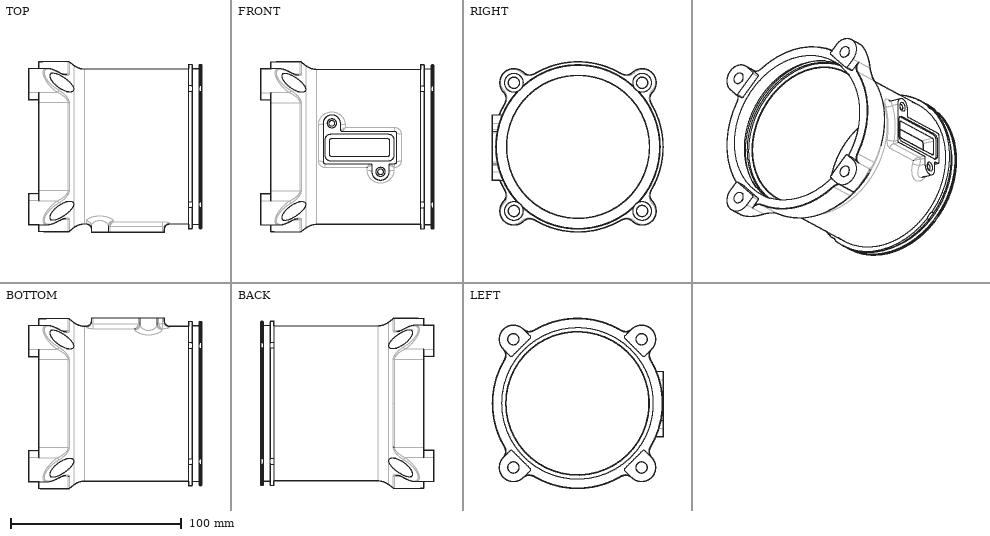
import cadquery as cq
import math

length = 101.5
tube_radius = 45.5
bore_radius = 83.6 / 2
bore_chamfer = 0.3

flange_front = 5.7
flange_radius = 49.9
flange_edge_chamfer = 0.3
cone_end = 26.6
blend_end = 32.7
cone_angle = 38.0
back_edge_fillet = 1.1

counterbore_radius = 88.8 / 2
counterbore_floor = 20.6
groove_radius = 91.5 / 2
groove_start = 16.0
groove_end = 19.1

bolt_offset = 37.6
bolt_circle_radius = bolt_offset * math.sqrt(2)
bolt_hole_diameter = 6.5
bolt_seat_diameter = 11.0
bolt_seat_start = 8.1
ear_radius = 8.3
ear_inner_flat = 46.6
ear_corner_fillet = 0.8
ear_root_fillet = 5.0
diagonals = (45, 135, 225, 315)

collar_radius = 48.2
seal_groove_radius = 91.5 / 2
collar_edge_chamfer = 0.4
front_collar_start = 93.7
front_collar_end = 96.0
back_collar_start = 99.9

pad_height = 50.2
pad_centre_x = 58.2
pad_centre_z = -0.4
pad_length = 42.8
pad_width = 19.0
pad_corner_fillet = 1.0
pad_root_fillet = 2.9
lobe_radius = 5.0
lobe_rise = 14.2
lobe_neck_fillet = 1.0
front_lobe_x = pad_centre_x - pad_length / 2 + lobe_radius
back_lobe_x = 70.2
lobe_centres = ((front_lobe_x, lobe_rise), (back_lobe_x, -lobe_rise))
window_centre_x = 58.0
window_length = 35.3
window_width = 10.5
window_corner_fillet = 1.3
ledge_length = 40.4
ledge_width = 15.6
ledge_corner_fillet = 3.2
ledge_depth = 1.0
screw_hole_diameter = 3.3
screw_hole_depth = 6.1
countersink_diameter = 5.4
countersink_angle = 45

tolerance = 0.05


def cylinder(radius, start, end):
    """Cylinder on the X axis between two X positions."""
    return cq.Workplane("YZ").workplane(offset=start).circle(radius).extrude(end - start)


def on_diagonals(solid):
    """Four copies of a solid lying along +Y, turned onto the diagonals."""
    copies = cq.Workplane("XY")
    for angle in diagonals:
        copies = copies.add(solid.rotate((0, 0, 0), (1, 0, 0), angle))
    return copies.combine()


def ear_column(start):
    """Round-ended bar parallel to X, from the inner flat out to the ear tip."""
    return (
        cq.Workplane("YZ")
        .workplane(offset=start)
        .moveTo(ear_inner_flat, -ear_radius)
        .lineTo(bolt_circle_radius, -ear_radius)
        .threePointArc((bolt_circle_radius + ear_radius, 0), (bolt_circle_radius, ear_radius))
        .lineTo(ear_inner_flat, ear_radius)
        .close()
        .extrude(blend_end - start)
    )


def back_envelope():
    """Turned space that trims flange and ears to the cone and blends it onto the tube."""
    slope = math.radians(cone_angle)
    blend_radius = (blend_end - cone_end) / math.sin(slope)
    cone_end_radius = tube_radius + blend_radius * (1 - math.cos(slope))
    blend_middle = (
        blend_end - blend_radius * math.sin(slope / 2),
        tube_radius + blend_radius * (1 - math.cos(slope / 2)),
    )
    cone_front_radius = cone_end_radius + cone_end * math.tan(slope)
    return (
        cq.Workplane("XY")
        .lineTo(0, cone_front_radius)
        .lineTo(cone_end, cone_end_radius)
        .threePointArc(blend_middle, (blend_end, tube_radius))
        .lineTo(blend_end, 0)
        .close()
        .revolve(360, (0, 0, 0), (1, 0, 0))
    )


def is_ear_root(edge):
    """True for the straight inner corners where an ear side meets the flange rim."""
    centre = edge.Center()
    on_rim = abs(math.hypot(centre.y, centre.z) - flange_radius) < tolerance
    near_ear = min(abs(centre.y), abs(centre.z)) > flange_radius / 2
    return on_rim and near_ear


def is_cone_rim(edge):
    """True for edges of the cone other than its small end circle."""
    return edge.Center().x < cone_end - tolerance


def flange_with_ears():
    plate = cylinder(flange_radius, flange_front, blend_end)
    plate = plate.union(on_diagonals(ear_column(flange_front)))
    plate = plate.edges("|X").filter(is_ear_root).fillet(ear_root_fillet)
    plate = plate.faces("<X").edges().chamfer(flange_edge_chamfer)

    ear = ear_column(0)
    ear = ear.faces("<Y").edges("|X").fillet(ear_corner_fillet)

    flange = plate.union(on_diagonals(ear)).intersect(back_envelope())
    cone = flange.faces("%CONE").faces(cq.selectors.AreaNthSelector(-1))
    return cone.edges().filter(is_cone_rim).fillet(back_edge_fillet)


def back_end():
    """Two collars around the seal groove."""
    front_collar = cylinder(collar_radius, front_collar_start, front_collar_end)
    front_collar = front_collar.faces(">X").edges().chamfer(collar_edge_chamfer)
    back_collar = cylinder(collar_radius, back_collar_start, length).edges().chamfer(collar_edge_chamfer)
    groove_floor = cylinder(seal_groove_radius, front_collar_start, length)
    return groove_floor.union(front_collar).union(back_collar)


def pad_plane(x, z):
    """Plane on the pad face, placed at x and at z from the pad centre; its normal is -Y."""
    return cq.Workplane("XZ", origin=(x, -pad_height, pad_centre_z + z))


def rounded_block(centre_x, size_x, size_z, depth, corner_fillet):
    """Block going down from the pad face, with rounded upright corners."""
    block = pad_plane(centre_x, 0).rect(size_x, size_z).extrude(-depth)
    return block.edges("|Y").fillet(corner_fillet)


def is_pad_root(edge):
    """True for the edges where the upright sides of the pad meet the tube."""
    centre = edge.Center()
    within_x = abs(centre.x - pad_centre_x) < pad_length / 2 + tolerance
    within_z = abs(centre.z - pad_centre_z) < lobe_rise + lobe_radius
    below_face = edge.BoundingBox().ymin > -tube_radius - tolerance
    return within_x and within_z and below_face and centre.y < 0


def rooted_on_tube(block):
    """Section of solid tube carrying one block of the pad, filleted along the block's root."""
    section = cylinder(tube_radius, blend_end - pad_root_fillet, front_collar_start)
    return section.union(block).edges().filter(is_pad_root).fillet(pad_root_fillet)


def is_lobe_neck(edge):
    """True for the inner corners where a lobe side meets a long side of the pad."""
    centre = edge.Center()
    on_long_side = abs(abs(centre.z - pad_centre_z) - pad_width / 2) < tolerance
    inside_ends = abs(centre.x - pad_centre_x) < pad_length / 2 - pad_corner_fillet
    return on_long_side and inside_ends


def connector_pad():
    """Rectangular pad with a screw lobe beyond each long side, on its section of tube."""
    pad = rooted_on_tube(rounded_block(pad_centre_x, pad_length, pad_width, pad_height, pad_corner_fillet))
    for x, z in lobe_centres:
        lobe = pad_plane(x, z).circle(lobe_radius).extrude(-pad_height)
        neck = pad_plane(x, z / 2).rect(2 * lobe_radius, abs(z)).extrude(-pad_height)
        pad = pad.union(rooted_on_tube(lobe.union(neck)))
    return pad.edges("|Y").filter(is_lobe_neck).fillet(lobe_neck_fillet)


def bolt_cutters():
    """Bolt holes, with seats that run clear to the back end and just scallop the collars."""
    hole = cylinder(bolt_hole_diameter / 2, 0, bolt_seat_start)
    seat = cylinder(bolt_seat_diameter / 2, bolt_seat_start, length)
    return on_diagonals(hole.union(seat).translate((0, bolt_circle_radius, 0)))


def bore_cutter():
    """Through bore with a chamfered mouth, the front counterbore and its ring groove."""
    mouth_end = counterbore_floor + bore_chamfer
    mouth = (
        cq.Workplane("XY")
        .moveTo(counterbore_floor, 0)
        .lineTo(counterbore_floor, bore_radius + bore_chamfer)
        .lineTo(mouth_end, bore_radius)
        .lineTo(mouth_end, 0)
        .close()
        .revolve(360, (0, 0, 0), (1, 0, 0))
    )
    cutter = cylinder(bore_radius, 0, length).union(mouth)
    cutter = cutter.union(cylinder(counterbore_radius, 0, counterbore_floor))
    return cutter.union(cylinder(groove_radius, groove_start, groove_end))


def pad_cutters():
    """Window into the bore, the ledge around it, and the two countersunk blind screw holes."""
    window = rounded_block(window_centre_x, window_length, window_width, pad_height, window_corner_fillet)
    ledge = rounded_block(window_centre_x, ledge_length, ledge_width, ledge_depth, ledge_corner_fillet)
    cutters = window.union(ledge)
    countersink_depth = (countersink_diameter - screw_hole_diameter) / 2
    for x, z in lobe_centres:
        face = pad_plane(x, z)
        hole = face.circle(screw_hole_diameter / 2).extrude(-screw_hole_depth)
        countersink = face.circle(countersink_diameter / 2).extrude(
            -countersink_depth, taper=countersink_angle
        )
        cutters = cutters.union(hole).union(countersink)
    return cutters


body = cylinder(tube_radius, flange_front, length)
for addition in (flange_with_ears(), connector_pad(), back_end()):
    body = body.union(addition)
for cutter in (bolt_cutters(), bore_cutter(), pad_cutters()):
    body = body.cut(cutter)
result = body